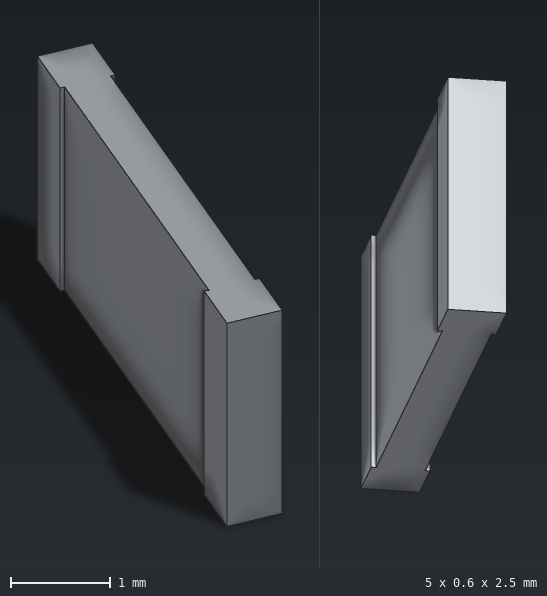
import cadquery as cq

length = 5.0
thickness = 0.6
height = 2.5

terminal_length = 0.6
terminal_step = 0.05

body_length = length - 2 * terminal_length
body_thickness = thickness - 2 * terminal_step


def terminal(side):
    """End block at the -X (side = -1) or +X (side = 1) end."""
    center_x = side * (length - terminal_length) / 2
    return cq.Workplane("XY").box(terminal_length, thickness, height).translate((center_x, 0, 0))


result = cq.Workplane("XY").box(body_length, body_thickness, height)

for side in (-1, 1):
    result = result.union(terminal(side))